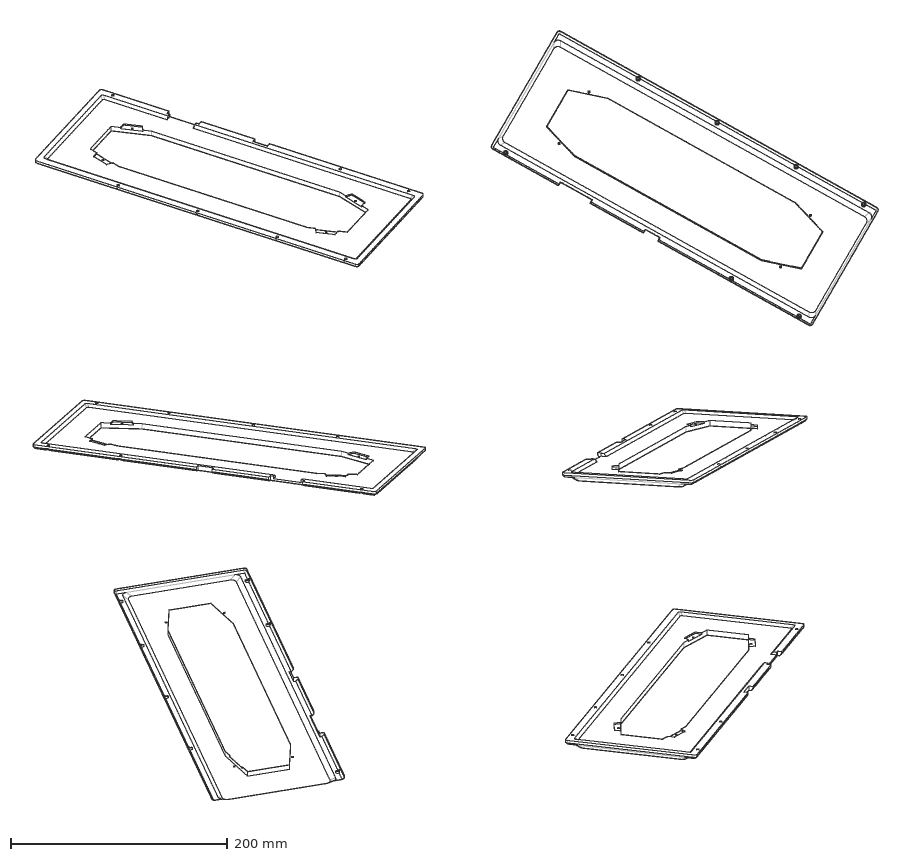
import cadquery as cq
import math

LENGTH = 341.5
WIDTH = 127.3
HEIGHT = 8.0
CORNER_RADIUS = 2.5

RIM_EDGE = 2.5
RIM_THICKNESS = 4.5
RIM_BEVEL = 2.0

PAN_TOP_INSET_X = 2.0
PAN_TOP_INSET_Y = 7.0
PAN_BASE_INSET_X = 4.5
PAN_BASE_INSET_Y = 12.0
PAN_CORNER_RADIUS = 4.5

TRAY_DEPTH = 2.55
TRAY_INSET_X = 5.5
TRAY_INSET_Y = 7.0
TRAY_CORNER_RADIUS = 1.7

OPENING_HALF_LENGTH = 135.5
OPENING_HALF_WIDTH = 31.5
OPENING_FLAT_HALF_LENGTH = 99.5
OPENING_EDGE_ANGLE = 17.5
OPENING_EDGE_SLOPE = math.tan(math.radians(OPENING_EDGE_ANGLE))
OPENING_END_HALF_WIDTH = (
    OPENING_HALF_WIDTH - (OPENING_HALF_LENGTH - OPENING_FLAT_HALF_LENGTH) * OPENING_EDGE_SLOPE
)

PAD_DEPTH = 1.5
PAD_OUTER_X = 127.3
PAD_INNER_X = 107.0
PAD_BACK_X = 110.5
PAD_SETBACK = 6.5
PAD_HOLE_X = 117.8
PAD_HOLE_Y = 28.0
PAD_HOLE_DIAMETER = 1.6

SCREW_DIAMETER = 2.2
COUNTERBORE_DIAMETER = 4.0
COUNTERBORE_TOP_DEPTH = RIM_EDGE
SCREW_EDGE_DISTANCE = 3.0
END_SCREW_X = 156.0
MIDDLE_SCREW_X = 84.0
FRONT_SCREWS = (-MIDDLE_SCREW_X, 0.0, MIDDLE_SCREW_X, END_SCREW_X)
BACK_SCREWS = (-END_SCREW_X, MIDDLE_SCREW_X, END_SCREW_X)

NOTCH_DEPTH = 4.0
WIDE_NOTCH = (-98.3, -64.5)
NARROW_NOTCH = (-8.0, 7.5)
CHANNEL = (-95.2, -67.5)

FLOOR_Z = HEIGHT - TRAY_DEPTH
RIM_UNDERSIDE_Z = HEIGHT - RIM_THICKNESS


def rounded_outline(z, inset_x, inset_y, radius):
    """Rounded rectangle at height z, set in from the plate edges."""
    outline = cq.Sketch().rect(LENGTH - 2 * inset_x, WIDTH - 2 * inset_y).vertices().fillet(radius)
    return outline.moved(cq.Location(cq.Vector(0, 0, z)))


def tapered_block(lower, upper):
    """Solid between two rounded outlines, each (z, inset_x, inset_y, radius)."""
    return cq.Workplane("XY").placeSketch(rounded_outline(*lower), rounded_outline(*upper)).loft()


def box_between(x_ends, y_ends, z_ends):
    size = [end - start for start, end in (x_ends, y_ends, z_ends)]
    corner = cq.Vector(x_ends[0], y_ends[0], z_ends[0])
    return cq.Workplane("XY").box(*size, centered=False).translate(corner)


def rim():
    edge = (
        cq.Workplane("XY", origin=(0, 0, HEIGHT - RIM_EDGE))
        .placeSketch(rounded_outline(0, 0, 0, CORNER_RADIUS))
        .extrude(RIM_EDGE)
    )
    bevel = tapered_block(
        (RIM_UNDERSIDE_Z, RIM_BEVEL, RIM_BEVEL, CORNER_RADIUS - RIM_BEVEL),
        (HEIGHT - RIM_EDGE, 0, 0, CORNER_RADIUS),
    )
    return edge.union(bevel)


def pan():
    return tapered_block(
        (0, PAN_BASE_INSET_X, PAN_BASE_INSET_Y, PAN_CORNER_RADIUS),
        (RIM_UNDERSIDE_Z, PAN_TOP_INSET_X, PAN_TOP_INSET_Y, PAN_CORNER_RADIUS),
    )


def tray():
    return tapered_block(
        (FLOOR_Z, TRAY_INSET_X + TRAY_DEPTH, TRAY_INSET_Y + TRAY_DEPTH, TRAY_CORNER_RADIUS),
        (HEIGHT, TRAY_INSET_X, TRAY_INSET_Y, TRAY_CORNER_RADIUS),
    )


def opening():
    corners = [
        (OPENING_HALF_LENGTH, OPENING_END_HALF_WIDTH),
        (OPENING_FLAT_HALF_LENGTH, OPENING_HALF_WIDTH),
        (-OPENING_FLAT_HALF_LENGTH, OPENING_HALF_WIDTH),
        (-OPENING_HALF_LENGTH, OPENING_END_HALF_WIDTH),
    ]
    mirrored = [(x, -y) for x, y in reversed(corners)]
    return cq.Workplane("XY").polyline(corners + mirrored).close().extrude(HEIGHT)


def opening_edge_y(x):
    """Y of the sloping opening edge at x in the +X +Y quadrant."""
    return OPENING_END_HALF_WIDTH + OPENING_EDGE_SLOPE * (OPENING_HALF_LENGTH - x)


def pad(side_x, side_y):
    """Recess and screw hole in the quadrant picked by the two signs."""
    corners = [
        (PAD_OUTER_X, opening_edge_y(PAD_OUTER_X)),
        (PAD_OUTER_X, opening_edge_y(PAD_OUTER_X) + PAD_SETBACK),
        (PAD_BACK_X, opening_edge_y(PAD_BACK_X) + PAD_SETBACK),
        (PAD_INNER_X, opening_edge_y(PAD_INNER_X)),
    ]
    recess = (
        cq.Workplane("XY", origin=(0, 0, FLOOR_Z - PAD_DEPTH))
        .polyline([(side_x * x, side_y * y) for x, y in corners])
        .close()
        .extrude(PAD_DEPTH)
    )
    hole = (
        cq.Workplane("XY")
        .center(side_x * PAD_HOLE_X, side_y * PAD_HOLE_Y)
        .circle(PAD_HOLE_DIAMETER / 2)
        .extrude(FLOOR_Z)
    )
    return recess.union(hole)


def rim_screws():
    screw_y = WIDTH / 2 - SCREW_EDGE_DISTANCE
    places = [(x, -screw_y) for x in FRONT_SCREWS] + [(x, screw_y) for x in BACK_SCREWS]
    holes = cq.Workplane("XY").pushPoints(places).circle(SCREW_DIAMETER / 2).extrude(HEIGHT)
    counterbores = (
        cq.Workplane("XY")
        .pushPoints(places)
        .circle(COUNTERBORE_DIAMETER / 2)
        .extrude(HEIGHT - COUNTERBORE_TOP_DEPTH)
    )
    return holes.union(counterbores)


def back_notch(x_ends):
    return box_between(x_ends, (WIDTH / 2 - NOTCH_DEPTH, WIDTH / 2), (0, HEIGHT))


def channel():
    """Passage at tray floor level from the tray to the wide notch."""
    tray_edge = WIDTH / 2 - TRAY_INSET_Y - TRAY_DEPTH
    return box_between(CHANNEL, (tray_edge, WIDTH / 2), (FLOOR_Z, HEIGHT))


result = rim().union(pan()).cut(tray()).cut(opening())
for side_x in (-1, 1):
    for side_y in (-1, 1):
        result = result.cut(pad(side_x, side_y))
result = result.cut(rim_screws())
result = result.cut(back_notch(WIDE_NOTCH)).cut(back_notch(NARROW_NOTCH)).cut(channel())